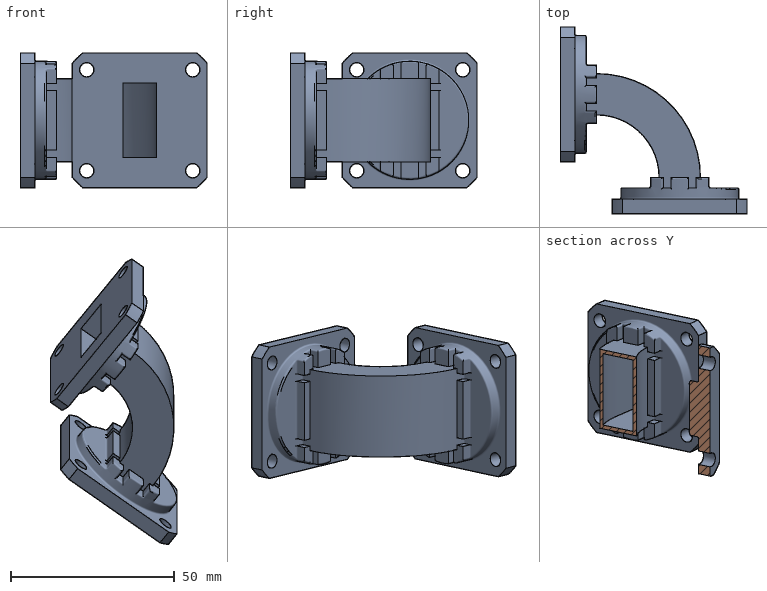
import cadquery as cq
import math

overall = 57.15
flange_side = 41.25
flange_thickness = 4.45
corner_diameter = 54.0
boss_diameter = 36.1
boss_top = 7.95
collar_top = 11.15
edge_radius = 0.5
collar_width = 17.8
notch_width = 2.3
end_notch_offset = 3.9
flank_notch_offset = 10.15
hole_diameter = 4.3
hole_pitch_across = 32.4
hole_pitch_up = 30.85
tube_across, tube_up = 12.7, 25.5
bore_across, bore_up = 10.2, 22.75
tolerance = 0.0005

half_side = flange_side / 2
boss_radius = boss_diameter / 2
axis = overall - half_side
bend_radius = axis - collar_top


def box(width, height, depth, base=0.0):
    """Centred box of the given depth standing on z = base."""
    return cq.Workplane("XY").workplane(offset=base).rect(width, height).extrude(depth)


def disc(diameter, depth, base=0.0):
    """Centred cylinder of the given depth standing on z = base."""
    return cq.Workplane("XY").workplane(offset=base).circle(diameter / 2).extrude(depth)


def flange_plate():
    plate = box(flange_side, flange_side, flange_thickness)
    return plate.intersect(disc(corner_diameter, flange_thickness))


def on_rim(edge):
    """True for raised edges that lie on the boss cylinder."""
    points = [edge.positionAt(t) for t in (0, 0.5, 1)]
    on_cylinder = all(math.isclose(math.hypot(p.x, p.y), boss_radius, abs_tol=tolerance) for p in points)
    return on_cylinder and edge.Center().z > tolerance


def on_flank_foot(edge):
    """True for edges where a collar flank, or a notch wall behind it, meets the boss face."""
    middle = edge.Center()
    walls = (collar_width / 2, tube_across / 2)
    at_flank = any(math.isclose(abs(middle.x), wall, abs_tol=tolerance) for wall in walls)
    at_face = math.isclose(middle.z, boss_top, abs_tol=tolerance)
    return at_flank and at_face


def collar_notches():
    """Slots through the collar that run from its outside in to the tube walls."""
    depth = collar_top - boss_top
    end_length = boss_radius - tube_up / 2
    flank_length = (collar_width - tube_across) / 2
    end_centre = (boss_radius + tube_up / 2) / 2
    flank_centre = (collar_width + tube_across) / 4
    notches = []
    for across in (-1, 1):
        for up in (-1, 1):
            end_notch = box(notch_width, end_length, depth, boss_top)
            notches.append(end_notch.translate((across * end_notch_offset, up * end_centre, 0)))
            flank_notch = box(flank_length, notch_width, depth, boss_top)
            notches.append(flank_notch.translate((across * flank_centre, up * flank_notch_offset, 0)))
    return notches


def stepped_boss():
    """Round boss with a narrower, notched collar on top."""
    collar = disc(boss_diameter, collar_top).intersect(box(collar_width, boss_diameter, collar_top))
    body = disc(boss_diameter, boss_top).union(collar)
    for notch in collar_notches():
        body = body.cut(notch)
    return body.edges().filter(lambda e: on_rim(e) or on_flank_foot(e)).fillet(edge_radius)


def on_boss_root(edge):
    """True for the circle where the boss leaves the flange plate."""
    start = edge.startPoint()
    at_plate = math.isclose(start.z, flange_thickness, abs_tol=tolerance)
    return at_plate and math.isclose(math.hypot(start.x, start.y), boss_radius, abs_tol=tolerance)


def flange():
    """Flange with its outer face on z = 0, across along X and up along Y."""
    body = flange_plate().union(stepped_boss())
    body = body.edges().filter(on_boss_root).fillet(edge_radius)
    holes = (
        cq.Workplane("XY")
        .rect(hole_pitch_across, hole_pitch_up, forConstruction=True)
        .vertices()
        .circle(hole_diameter / 2)
        .extrude(flange_thickness)
    )
    return body.cut(holes)


def waveguide(across, up):
    """Rectangular duct: straight, quarter bend, straight."""
    path = (
        cq.Workplane("XY")
        .moveTo(axis, 0)
        .lineTo(axis, collar_top)
        .radiusArc((collar_top, axis), -bend_radius)
        .lineTo(0, axis)
    )
    return cq.Workplane("XZ", origin=(axis, 0, 0)).rect(across, up).sweep(path)


standing = flange().rotate((0, 0, 0), (1, 0, 0), -90)
front_flange = standing.translate((axis, 0, 0))
side_flange = standing.rotate((0, 0, 0), (0, 0, 1), -90).translate((0, axis, 0))

result = (
    front_flange.union(side_flange)
    .union(waveguide(tube_across, tube_up))
    .cut(waveguide(bore_across, bore_up))
)